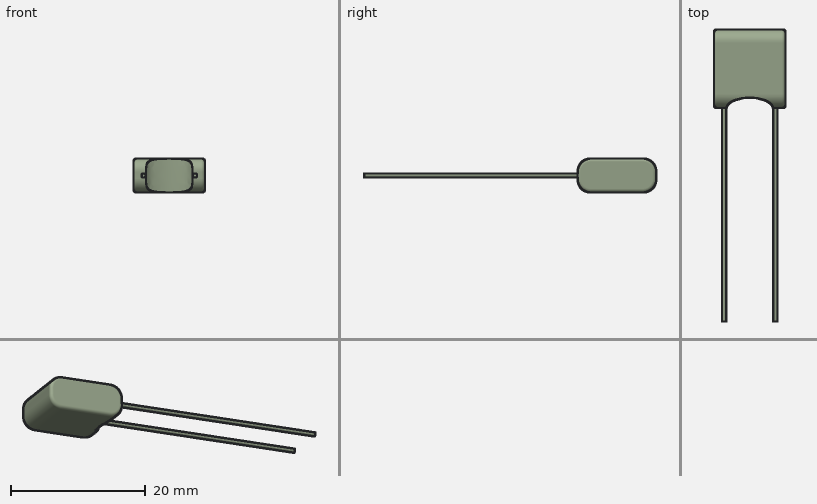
import cadquery as cq

total_length = 43.45
body_width = 10.7
body_length = 11.73
body_height = 5.1

corner_radius = 2.0
rim_radius = 0.5

notch_half_width = 3.45
notch_depth = 1.55

lead_diameter = 0.65
lead_pitch = 7.6
lead_length = total_length - body_length


def make_housing():
    """Rounded block with its front face on Y = 0, centred on X and Z."""
    block = (
        cq.Workplane("XY")
        .box(body_width, body_length, body_height)
        .edges("|X")
        .fillet(corner_radius)
        .faces("<X or >X")
        .edges()
        .fillet(rim_radius)
        .translate((0, body_length / 2, 0))
    )
    notch = (
        cq.Workplane("XY", origin=(0, 0, -body_height / 2))
        .ellipse(notch_half_width, notch_depth)
        .extrude(body_height)
    )
    return block.cut(notch).solids()


def make_lead(x):
    """Straight round wire running from the housing's front face toward -Y."""
    return (
        cq.Workplane("XZ")
        .center(x, 0)
        .circle(lead_diameter / 2)
        .extrude(lead_length)
    )


housing = make_housing()
leads = [make_lead(side * lead_pitch / 2) for side in (-1, 1)]

result = cq.Compound.makeCompound([housing.val(), *[lead.val() for lead in leads]])